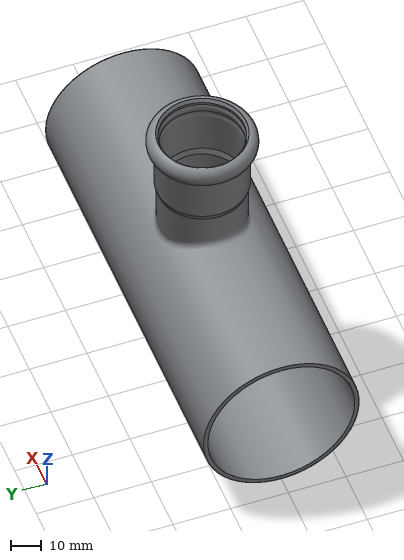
import cadquery as cq
import math


def half_chord(circle_radius, offset):
    """Half length of a chord lying the given distance from the circle centre."""
    return math.sqrt(circle_radius**2 - offset**2)


run_length = 147.0
run_outer_radius = 54.0 / 2
wall = 1.5
run_inner_radius = run_outer_radius - wall

branch_top = 64.5
neck_outer_radius = 30.0 / 2
neck_inner_radius = neck_outer_radius - wall
socket_inner_radius = 28.4 / 2
socket_outer_radius = socket_inner_radius + wall
mouth_radius = 28.8 / 2
shoulder_top = branch_top - 23.1
shoulder_bottom = branch_top - 25.2
weld_fillet_radius = 2.0

bead_outer_radius = 36.8 / 2
bead_tube_radius = 3.75
bead_centre_radius = bead_outer_radius - bead_tube_radius

countersink_radius = 30.4 / 2
countersink_bottom = branch_top - 1.2
rib_inner_radius = 27.9 / 2
rib_half_height = 1.6
step_top = branch_top - 6.6
step_bottom = branch_top - 7.5

bead_centre_z = branch_top - half_chord(bead_tube_radius, countersink_radius - bead_centre_radius)
bead_crest_z = bead_centre_z + bead_tube_radius


def run_cylinder(radius):
    """Full-length cylinder along the run axis."""
    return cq.Workplane("YZ").circle(radius).extrude(run_length / 2, both=True)


def branch_outside():
    """Solid branch outline revolved round Z, from the run axis to the mouth."""
    bead_foot_z = bead_centre_z - half_chord(bead_tube_radius, socket_outer_radius - bead_centre_radius)
    return (
        cq.Workplane("XZ")
        .lineTo(neck_outer_radius, 0)
        .lineTo(neck_outer_radius, shoulder_bottom)
        .lineTo(socket_outer_radius, shoulder_top)
        .lineTo(socket_outer_radius, bead_foot_z)
        .threePointArc((bead_outer_radius, bead_centre_z), (bead_centre_radius, bead_crest_z))
        .lineTo(0, bead_crest_z)
        .close()
        .revolve(360, (0, 0, 0), (0, 1, 0))
    )


def branch_bore():
    """Stepped bore with the sealing rib inside the bead, revolved round Z."""
    return (
        cq.Workplane("XZ")
        .lineTo(neck_inner_radius, 0)
        .lineTo(neck_inner_radius, shoulder_bottom)
        .lineTo(socket_inner_radius, shoulder_top)
        .lineTo(socket_inner_radius, step_bottom)
        .lineTo(mouth_radius, step_top)
        .lineTo(mouth_radius, bead_centre_z - rib_half_height)
        .threePointArc(
            (rib_inner_radius, bead_centre_z),
            (mouth_radius, bead_centre_z + rib_half_height),
        )
        .lineTo(mouth_radius, countersink_bottom)
        .lineTo(countersink_radius, branch_top)
        .lineTo(countersink_radius, bead_crest_z)
        .lineTo(0, bead_crest_z)
        .close()
        .revolve(360, (0, 0, 0), (0, 1, 0))
    )


def weld_edges(body):
    """Saddle curve where the neck meets the run pipe."""
    saddle_low_z = half_chord(run_outer_radius, neck_outer_radius)
    margin = 1.0
    reach = neck_outer_radius + margin
    box = cq.selectors.BoxSelector(
        (-reach, -reach, saddle_low_z - margin),
        (reach, reach, run_outer_radius + margin),
        boundingbox=True,
    )
    return body.edges(box)


body = run_cylinder(run_outer_radius).union(branch_outside())
body = weld_edges(body).fillet(weld_fillet_radius)
result = body.cut(run_cylinder(run_inner_radius)).cut(branch_bore())